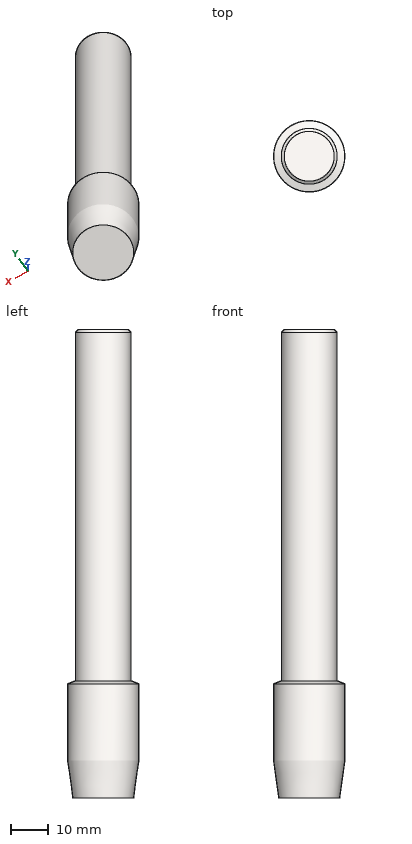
import cadquery as cq
import math

overall_length = 125.0
shank_diameter = 14.9
shank_chamfer = 0.8
head_diameter = 19.05
taper_height = 10.0
taper_angle = 7.9
shoulder_start = 30.5
shoulder_slope = 21.5

shank_radius = shank_diameter / 2
head_radius = head_diameter / 2
tip_radius = head_radius - taper_height * math.tan(math.radians(taper_angle))
shoulder_height = (head_radius - shank_radius) * math.tan(math.radians(shoulder_slope))
head_length = shoulder_start + shoulder_height
shank_length = overall_length - head_length


def make_head():
    """Solid head: tapered tip, cylinder and a shoulder sloping in to the shank."""
    profile = (
        cq.Workplane("XZ")
        .lineTo(tip_radius, 0)
        .lineTo(head_radius, taper_height)
        .lineTo(head_radius, shoulder_start)
        .lineTo(shank_radius, head_length)
        .lineTo(0, head_length)
        .close()
    )
    return profile.revolve(360, (0, 0, 0), (0, 1, 0))


def make_shank():
    """Plain round shank standing on the head, chamfered at its free end."""
    shank = cq.Workplane("XY", origin=(0, 0, head_length)).circle(shank_radius).extrude(shank_length)
    return shank.faces(">Z").chamfer(shank_chamfer)


head = make_head()
shank = make_shank()

result = cq.Compound.makeCompound([head.val(), shank.val()])